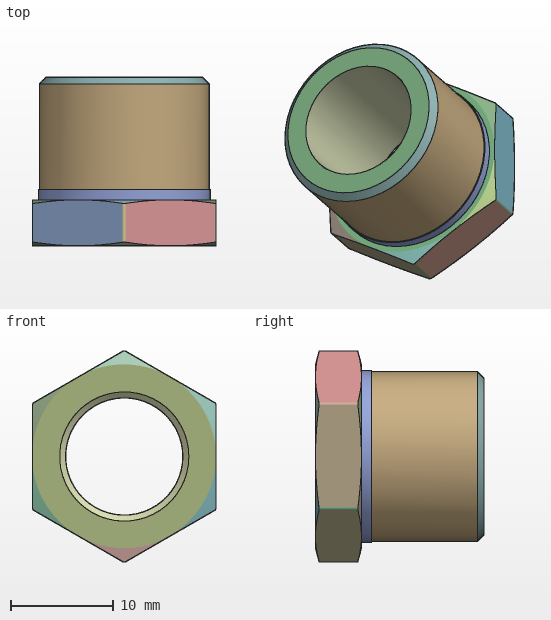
import cadquery as cq
import math

hexagon_sides = 6
across_flats = 18.0
head_length = 4.5
corner_fillet = 0.3
head_chamfer_angle = 15.0

total_length = 16.5
collar_diameter = 16.86
collar_length = 1.0
shank_diameter = 16.66
shank_chamfer = 0.65

bore_diameter = 11.45
countersink_diameter = 12.65
countersink_depth = (countersink_diameter - bore_diameter) / 2


def revolve_about_y(points):
    """Revolve a closed outline of (radius, y) points about the Y axis."""
    return cq.Workplane("XY").polyline(points).close().revolve(360, (0, 0, 0), (0, 1, 0))


def hex_head():
    """Hexagon with rounded corner edges, chamfered from both end faces."""
    flat_radius = across_flats / 2
    corner_radius = flat_radius / math.cos(math.pi / hexagon_sides)
    chamfer_drop = (corner_radius - flat_radius) * math.tan(math.radians(head_chamfer_angle))
    hexagon = (
        cq.Workplane("XZ")
        .polygon(hexagon_sides, across_flats, circumscribed=True)
        .extrude(-head_length)
        .edges("|Y")
        .fillet(corner_fillet)
    )
    turned_envelope = revolve_about_y([
        (0, 0),
        (flat_radius, 0),
        (corner_radius, chamfer_drop),
        (corner_radius, head_length - chamfer_drop),
        (flat_radius, head_length),
        (0, head_length),
    ])
    return hexagon.intersect(turned_envelope)


def shank():
    """Collar and plain shank with a chamfered free end."""
    collar_end = head_length + collar_length
    shank_radius = shank_diameter / 2
    return revolve_about_y([
        (0, head_length),
        (collar_diameter / 2, head_length),
        (collar_diameter / 2, collar_end),
        (shank_radius, collar_end),
        (shank_radius, total_length - shank_chamfer),
        (shank_radius - shank_chamfer, total_length),
        (0, total_length),
    ])


def bore():
    """Through bore with a conical countersink at the head face."""
    bore_radius = bore_diameter / 2
    return revolve_about_y([
        (0, 0),
        (countersink_diameter / 2, 0),
        (bore_radius, countersink_depth),
        (bore_radius, total_length),
        (0, total_length),
    ])


result = hex_head().union(shank()).cut(bore())